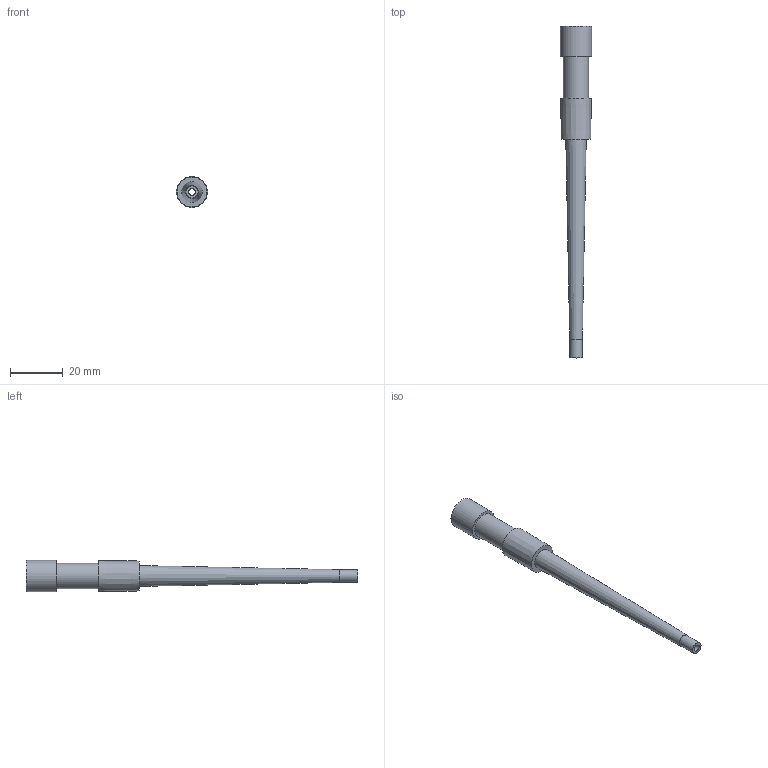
import cadquery as cq

total_length = 126.4
tip_length = 7.0
collar_length = 15.5
neck_length = 16.0
cap_length = 11.6

bore_diameter = 2.6
tip_diameter = 4.6
shank_tip_diameter = 4.85
shank_base_diameter = 7.9
collar_front_diameter = 11.4
collar_back_diameter = 11.8
neck_diameter = 9.55
cap_diameter = 11.85

cap_start = total_length - cap_length
neck_start = cap_start - neck_length
collar_start = neck_start - collar_length


def cylinder(diameter, start, end):
    """Solid cylinder along +Y between two positions."""
    plane = cq.Plane(origin=(0, start, 0), xDir=(1, 0, 0), normal=(0, 1, 0))
    return cq.Workplane(plane).circle(diameter / 2).extrude(end - start)


def taper(start_diameter, end_diameter, start, end):
    """Solid cone frustum along +Y between two positions."""
    base = cq.Vector(0, start, 0)
    axis = cq.Vector(0, 1, 0)
    cone = cq.Solid.makeCone(start_diameter / 2, end_diameter / 2, end - start, base, axis)
    return cq.Workplane(cone)


tip = cylinder(tip_diameter, 0, tip_length)
shank = taper(shank_tip_diameter, shank_base_diameter, tip_length, collar_start)
collar = taper(collar_front_diameter, collar_back_diameter, collar_start, neck_start)
neck = cylinder(neck_diameter, neck_start, cap_start)
cap = cylinder(cap_diameter, cap_start, total_length)
bore = cylinder(bore_diameter, 0, total_length)

result = tip.union(shank).union(collar).union(neck).union(cap).cut(bore)